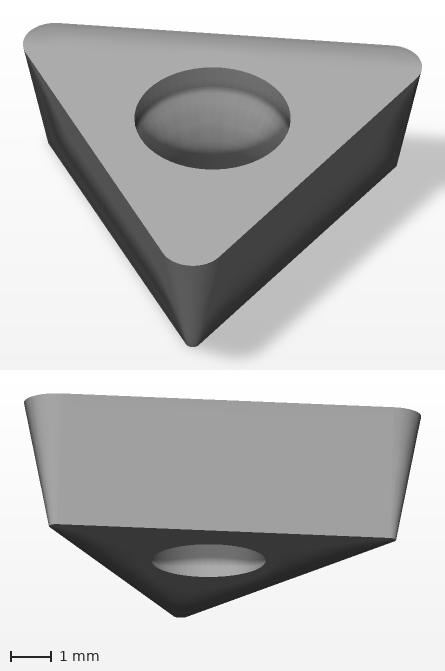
import cadquery as cq
import math

width = 9.84
thickness = 3.17
corner_radius = 0.8
relief_angle = 11.0

bore_diameter = 2.8
recess_diameter = 3.84
recess_depth = 0.62
recess_blend_radius = 0.25
seat_radius = 2.41

corner_spacing = width - 2 * corner_radius
corner_distance = corner_spacing / math.sqrt(3)


def rounded_triangle(corner_arc_radius, height):
    """Triangle about the hole axis at a given height, one corner towards +Y."""
    side = corner_spacing / 2
    base = -corner_distance / 2
    centres = [(-side, base), (side, base), (0, corner_distance)]

    def arc_point(centre, angle):
        return (
            centre[0] + corner_arc_radius * math.cos(math.radians(angle)),
            centre[1] + corner_arc_radius * math.sin(math.radians(angle)),
        )

    outline = cq.Workplane("XY").workplane(offset=height)
    outline = outline.moveTo(*arc_point(centres[0], -90))
    for end, facing in zip(centres[1:] + centres[:1], (-90, 30, 150)):
        outline = outline.lineTo(*arc_point(end, facing))
        outline = outline.threePointArc(arc_point(end, facing + 60), arc_point(end, facing + 120))
    return outline.close().val()


def make_body():
    """Loft between base and top; the corner arcs share centres, so they form cones."""
    base_corner_radius = corner_radius - thickness * math.tan(math.radians(relief_angle))
    base = rounded_triangle(base_corner_radius, 0)
    top = rounded_triangle(corner_radius, thickness)
    return cq.Workplane(cq.Solid.makeLoft([base, top], True))


def make_hole():
    """Straight bore, convex screw seat, concave blend and recess, revolved about Z."""
    bore_radius = bore_diameter / 2
    recess_radius = recess_diameter / 2
    blend_top = thickness - recess_depth

    blend_x = recess_radius - recess_blend_radius
    seat_x = bore_radius + seat_radius
    centre_distance = seat_radius + recess_blend_radius
    sweep = math.acos((seat_x - blend_x) / centre_distance)
    seat_bottom = blend_top - centre_distance * math.sin(sweep)

    def seat_point(angle):
        return (seat_x - seat_radius * math.cos(angle), seat_bottom + seat_radius * math.sin(angle))

    def blend_point(angle):
        return (
            blend_x + recess_blend_radius * math.cos(angle),
            blend_top - recess_blend_radius * math.sin(angle),
        )

    profile = (
        cq.Workplane("XZ")
        .lineTo(bore_radius, 0)
        .lineTo(bore_radius, seat_bottom)
        .threePointArc(seat_point(sweep / 2), seat_point(sweep))
        .threePointArc(blend_point(sweep / 2), (recess_radius, blend_top))
        .lineTo(recess_radius, thickness)
        .lineTo(0, thickness)
        .close()
    )
    return profile.revolve(360, (0, 0, 0), (0, 1, 0))


result = make_body().cut(make_hole())